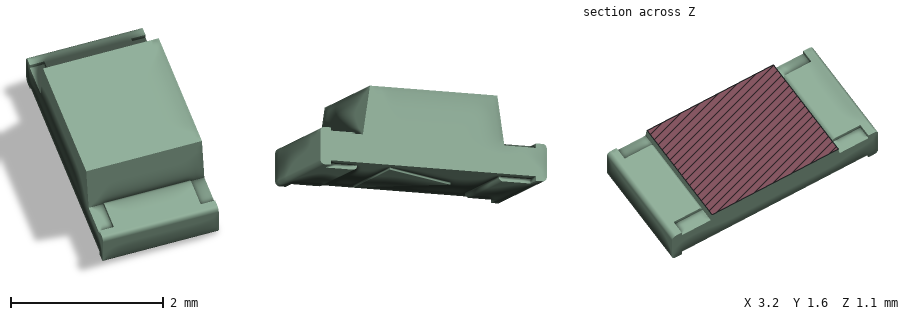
import cadquery as cq
import math

LENGTH = 3.2
WIDTH = 1.6
HEIGHT = 1.1

PLATING = 0.06
TERMINAL_HEIGHT = 0.5
TERMINAL_LENGTH = 0.6
END_BAND = 0.15
NOTCH_DEPTH = 0.2

LENS_BASE_LENGTH = LENGTH - 2 * TERMINAL_LENGTH
LENS_TOP_LENGTH = 1.8

MARK_LENGTH = 1.11
MARK_THICKNESS = 0.03
MARK_HALF_BASE = MARK_LENGTH * math.tan(math.radians(30))

BOARD_LENGTH = LENGTH - 2 * PLATING
BOARD_BOTTOM = PLATING
BOARD_TOP = TERMINAL_HEIGHT - PLATING


def make_board():
    """Plain rectangular board between the two terminals."""
    board_thickness = BOARD_TOP - BOARD_BOTTOM
    board = cq.Workplane("XY").box(BOARD_LENGTH, WIDTH, board_thickness, centered=(True, True, False))
    return board.translate((0, 0, BOARD_BOTTOM))


def make_lens():
    """Full-width lens whose two ends lean inward towards the top."""
    half_base = LENS_BASE_LENGTH / 2
    half_top = LENS_TOP_LENGTH / 2
    return (
        cq.Workplane("XZ")
        .moveTo(-half_base, BOARD_TOP)
        .lineTo(half_base, BOARD_TOP)
        .lineTo(half_top, HEIGHT)
        .lineTo(-half_top, HEIGHT)
        .close()
        .extrude(WIDTH / 2, both=True)
    )


def make_left_terminal():
    """C-shaped terminal at the -X end, with its four corners notched."""
    outer_x = -LENGTH / 2
    wall_x = outer_x + PLATING
    inner_x = outer_x + TERMINAL_LENGTH
    rounding_x = inner_x - PLATING

    terminal = (
        cq.Workplane("XZ")
        .moveTo(wall_x, TERMINAL_HEIGHT)
        .lineTo(rounding_x, TERMINAL_HEIGHT)
        .radiusArc((inner_x, BOARD_TOP), PLATING)
        .lineTo(wall_x, BOARD_TOP)
        .lineTo(wall_x, BOARD_BOTTOM)
        .lineTo(inner_x, BOARD_BOTTOM)
        .radiusArc((rounding_x, 0), PLATING)
        .lineTo(wall_x, 0)
        .radiusArc((outer_x, BOARD_BOTTOM), PLATING)
        .lineTo(outer_x, BOARD_TOP)
        .radiusArc((wall_x, TERMINAL_HEIGHT), PLATING)
        .close()
        .extrude(WIDTH / 2, both=True)
    )

    notch_length = TERMINAL_LENGTH - END_BAND
    notch_x = inner_x - notch_length / 2
    notch_y = (WIDTH - NOTCH_DEPTH) / 2
    notches = (
        cq.Workplane("XY")
        .pushPoints([(notch_x, -notch_y), (notch_x, notch_y)])
        .rect(notch_length, NOTCH_DEPTH)
        .extrude(TERMINAL_HEIGHT)
    )
    return terminal.cut(notches)


def make_polarity_mark():
    """Thin triangle standing off the underside of the board."""
    tip_x = -MARK_LENGTH / 2
    base_x = MARK_LENGTH / 2
    return (
        cq.Workplane("XY")
        .workplane(offset=BOARD_BOTTOM - MARK_THICKNESS)
        .moveTo(tip_x, 0)
        .lineTo(base_x, -MARK_HALF_BASE)
        .lineTo(base_x, MARK_HALF_BASE)
        .close()
        .extrude(MARK_THICKNESS)
    )


left_terminal = make_left_terminal()
right_terminal = left_terminal.mirror("YZ")

result = (
    make_board()
    .union(left_terminal)
    .union(right_terminal)
    .union(make_lens())
    .union(make_polarity_mark())
)